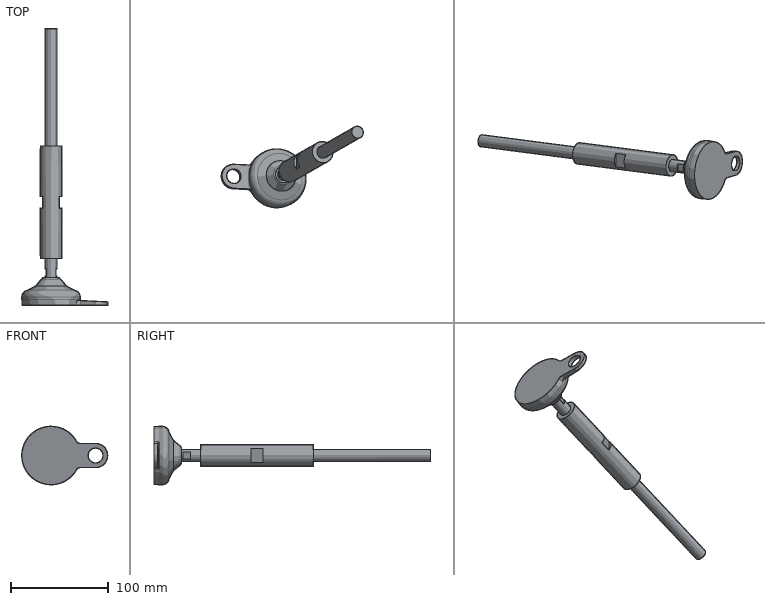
import cadquery as cq
import math


total_length = 283.0
rim_radius = 30.0
rim_height = 6.2
base_radius = 29.7
shoulder_start_height = 8.5
shoulder_radius = 24.0
shoulder_height = 15.5
skirt_radius = 15.8
skirt_height = 19.8
collar_radius = 10.2
collar_height = 26.5
foot_top_radius = 8.5
foot_height = 28.3

lug_width = 25.0
lug_reach = 58.0
lug_hole_diameter = 15.0
lug_root_thickness = 5.0
lug_tip_thickness = 3.7
lug_blend_radius = 5.5

spindle_diameter = 12.5
spindle_bottom = 21.5
spindle_flat_start = 30.0
spindle_flat_length = 7.4
spindle_across_flats = 10.2

sleeve_diameter = 22.0
sleeve_length = 115.2
sleeve_bottom = 47.8
sleeve_flat_length = 12.0
sleeve_across_flats = 17.0


def rod(diameter, start, length):
    """Cylinder on the Y axis, beginning at the given Y."""
    return cq.Workplane("XZ", origin=(0, start, 0)).circle(diameter / 2).extrude(-length)


def cut_wrench_flats(body, diameter, across_flats, start, length):
    """Cut a pair of opposite flats facing -X and +X."""
    for side in (-1, 1):
        cutter = (
            cq.Workplane("XY")
            .box(diameter, length, diameter)
            .translate((side * (across_flats + diameter) / 2, start + length / 2, 0))
        )
        body = body.cut(cutter)
    return body


def make_foot_dish():
    """Turned dish with a rounded shoulder, a conical skirt and a chamfered collar."""
    return (
        cq.Workplane("XY")
        .lineTo(base_radius, 0)
        .lineTo(rim_radius, rim_height)
        .lineTo(rim_radius, shoulder_start_height)
        .tangentArcPoint((shoulder_radius, shoulder_height), relative=False)
        .lineTo(skirt_radius, skirt_height)
        .lineTo(collar_radius, collar_height)
        .lineTo(foot_top_radius, foot_height)
        .lineTo(0, foot_height)
        .close()
        .revolve(360, (0, 0, 0), (0, 1, 0))
    )


def make_lug():
    """Round-ended lug blended into the dish, its upper face sloping down to the tip."""
    half_width = lug_width / 2
    hole_x = lug_reach - half_width
    blend_centre_z = half_width + lug_blend_radius
    centre_distance = base_radius + lug_blend_radius
    blend_angle = math.asin(blend_centre_z / centre_distance)
    blend_end_x = centre_distance * math.cos(blend_angle)
    blend_start_x = base_radius * math.cos(blend_angle)
    blend_start_z = base_radius * math.sin(blend_angle)
    middle_angle = (blend_angle + math.pi / 2) / 2
    blend_middle_x = blend_end_x - lug_blend_radius * math.cos(middle_angle)
    blend_middle_z = blend_centre_z - lug_blend_radius * math.sin(middle_angle)

    plate = (
        cq.Workplane("XZ")
        .lineTo(blend_start_x, blend_start_z)
        .threePointArc((blend_middle_x, blend_middle_z), (blend_end_x, half_width))
        .lineTo(hole_x, half_width)
        .threePointArc((lug_reach, 0), (hole_x, -half_width))
        .lineTo(blend_end_x, -half_width)
        .threePointArc((blend_middle_x, -blend_middle_z), (blend_start_x, -blend_start_z))
        .close()
        .extrude(-lug_root_thickness)
    )
    sloped_side = (
        cq.Workplane("XY")
        .polyline([
            (0, 0),
            (lug_reach, 0),
            (lug_reach, lug_tip_thickness),
            (rim_radius, lug_root_thickness),
            (0, lug_root_thickness),
        ])
        .close()
        .extrude(rim_radius, both=True)
    )
    hole = rod(lug_hole_diameter, 0, lug_root_thickness).translate((hole_x, 0, 0))
    return plate.intersect(sloped_side).cut(hole)


def make_foot():
    """Dish and lug in one piece, with a blind socket for the spindle."""
    socket = rod(spindle_diameter, spindle_bottom, foot_height - spindle_bottom)
    return make_foot_dish().union(make_lug()).cut(socket)


def make_spindle():
    """Plain rod with wrench flats just above the foot."""
    body = rod(spindle_diameter, spindle_bottom, total_length - spindle_bottom)
    return cut_wrench_flats(
        body, spindle_diameter, spindle_across_flats, spindle_flat_start, spindle_flat_length
    )


def make_sleeve():
    """Tube around the spindle with wrench flats at mid-length."""
    body = rod(sleeve_diameter, sleeve_bottom, sleeve_length)
    body = body.cut(rod(spindle_diameter, sleeve_bottom, sleeve_length))
    flat_start = sleeve_bottom + (sleeve_length - sleeve_flat_length) / 2
    return cut_wrench_flats(
        body, sleeve_diameter, sleeve_across_flats, flat_start, sleeve_flat_length
    )


foot = make_foot()
spindle = make_spindle()
sleeve = make_sleeve()

result = cq.Compound.makeCompound([foot.val(), spindle.val(), sleeve.val()])